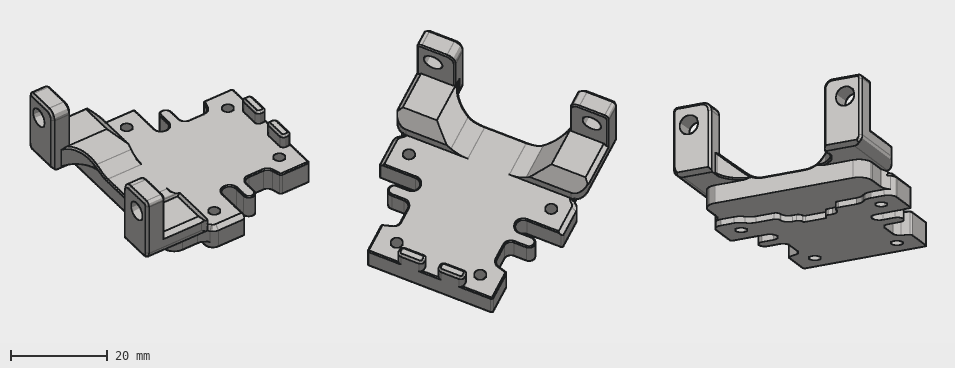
import cadquery as cq
import math

LENGTH = 45.75
HALF_WIDTH = 21.755
HEIGHT = 20.9

PLATE_TOP = 5.35
PLATE_FRONT = 16.45
PLATE_HALF_WIDTH = 20.8
PLATE_CORNER_RADIUS = 2.0
SMALL_CORNER_RADIUS = 0.45
SIDE_CHAMFER = 1.0
EDGE_CHAMFER = 0.27

EAR_HALF_WIDTH = 14.25
EAR_FRONT = 38.5
EAR_SLOPE = math.radians(17)
NECK_HALF_WIDTH = 11.0
NECK_RADIUS = 1.5
TAB_HALF_WIDTH = 16.65
TAB_REAR = 31.2
TAB_FRONT = 28.5
SHOULDER_REAR = 25.2

PLATE_HOLE_CENTRES = [(9.45, 41.4), (16.15, 20.65)]
PLATE_HOLE_DIAMETER = 2.5

PEG_CENTRE_X = 4.58
PEG_SIZE_X = 5.9
PEG_SIZE_Y = 2.35
PEG_TOP = 8.55
PEG_CORNER_RADIUS = 0.9
PEG_CHAMFER = 0.5

SLAB_BOTTOM = 1.35
SLAB_FRONT = 7.82
SLAB_HALF_WIDTH = 18.9
SLAB_RADIUS = 2.97

ARM_REAR = 16.55
ARM_TOP = 10.45
ARM_BOTTOM_RADIUS = 2.0
ARM_TOP_CHAMFER = 1.0
ARM_REAR_CHAMFER = 2.97
ARM_REAR_RADIUS = 2.97
RAMP_START = 4.7
RAMP_RADIUS = 6.0
RAMP_ANGLE = math.radians(39.5)
BAY_RADIUS = 6.0
BAY_CHAMFER = 0.3

POST_INNER = 13.05
POST_REAR = 4.5
POST_OUTER_RADIUS = 1.0
POST_INNER_RADIUS = 2.0
POST_FRONT_CHAMFER = 0.55
POST_REAR_CHAMFER = 0.3
POST_BOTTOM_CHAMFER = 0.9
POST_HOLE_X = 18.03
POST_HOLE_Z = 16.42
POST_HOLE_DIAMETER = 4.2

RELIEF_OUTER = 15.8
RELIEF_RADIUS = 2.97
RELIEF_ANGLE = math.radians(45)
RELIEF_MID = 7.45
RELIEF_MID_RADII = (1.0, 1.85)
RELIEF_INNER = 3.7
RELIEF_INNER_RADII = (1.0, 0.35)

NUDGE = 0.005
PEG_OVERLAP = 0.45
QUARTER = math.pi / 2


def arc(sketch, centre, radius, start, end):
    """Continue a 2D outline with an arc, angles in radians."""
    def at(angle):
        return (centre[0] + radius * math.cos(angle), centre[1] + radius * math.sin(angle))
    return sketch.threePointArc(at((start + end) / 2), at(end))


def box_between(low, high):
    size = [b - a for a, b in zip(low, high)]
    return cq.Workplane("XY").box(*size, centered=False).translate(low)


def make_plate():
    ear_arc_x = NECK_HALF_WIDTH + NECK_RADIUS
    slope_x = ear_arc_x - NECK_RADIUS * math.sin(EAR_SLOPE)
    slope_y = EAR_FRONT - (EAR_HALF_WIDTH - slope_x) * math.tan(EAR_SLOPE)
    ear_arc_y = slope_y - NECK_RADIUS * math.cos(EAR_SLOPE)
    tab_radius = (TAB_REAR - TAB_FRONT) / 2
    tab_arc = (TAB_HALF_WIDTH - tab_radius, TAB_FRONT + tab_radius)
    notch_radius = (TAB_FRONT - SHOULDER_REAR) / 2
    notch_arc = (NECK_HALF_WIDTH + notch_radius, SHOULDER_REAR + notch_radius)
    tab_neck_arc = (NECK_HALF_WIDTH + NECK_RADIUS, TAB_REAR + NECK_RADIUS)

    outline = cq.Workplane("XY").moveTo(0, LENGTH).lineTo(EAR_HALF_WIDTH, LENGTH)
    outline = outline.lineTo(EAR_HALF_WIDTH, EAR_FRONT).lineTo(slope_x, slope_y)
    outline = arc(outline, (ear_arc_x, ear_arc_y), NECK_RADIUS, QUARTER + EAR_SLOPE, math.pi)
    outline = outline.lineTo(NECK_HALF_WIDTH, tab_neck_arc[1])
    outline = arc(outline, tab_neck_arc, NECK_RADIUS, math.pi, 3 * QUARTER)
    outline = outline.lineTo(tab_arc[0], TAB_REAR)
    outline = arc(outline, tab_arc, tab_radius, QUARTER, -QUARTER)
    outline = outline.lineTo(notch_arc[0], TAB_FRONT)
    outline = arc(outline, notch_arc, notch_radius, QUARTER, 3 * QUARTER)
    outline = outline.lineTo(PLATE_HALF_WIDTH, SHOULDER_REAR).lineTo(PLATE_HALF_WIDTH, PLATE_FRONT)
    plate = outline.lineTo(0, PLATE_FRONT).close().extrude(PLATE_TOP)

    ear_box = cq.selectors.BoxSelector(
        (EAR_HALF_WIDTH - NUDGE, EAR_FRONT - NUDGE, 0),
        (EAR_HALF_WIDTH + NUDGE, LENGTH + NUDGE, PLATE_TOP))
    plate = plate.edges("|Z").edges(ear_box).fillet(SMALL_CORNER_RADIUS)
    plate = plate.edges("|Z and >X").edges("<Y").fillet(PLATE_CORNER_RADIUS)

    rim = cq.selectors.BoxSelector(
        (NECK_HALF_WIDTH - NUDGE, SHOULDER_REAR - NUDGE, PLATE_TOP - NUDGE),
        (PLATE_HALF_WIDTH, LENGTH - NUDGE, PLATE_TOP + NUDGE))
    return plate.edges(rim).chamfer(EDGE_CHAMFER)


def make_relief():
    """Stepped recess in the plate underside, deepest at the centre."""
    run = RELIEF_RADIUS * math.sin(RELIEF_ANGLE)
    rise = RELIEF_RADIUS * (1 - math.cos(RELIEF_ANGLE))
    mid_y = PLATE_FRONT + 2 * rise
    outline = cq.Workplane("XY").moveTo(0, PLATE_FRONT).lineTo(RELIEF_OUTER, PLATE_FRONT)
    outline = arc(outline, (RELIEF_OUTER, PLATE_FRONT + RELIEF_RADIUS), RELIEF_RADIUS,
                  -QUARTER, -QUARTER - RELIEF_ANGLE)
    outline = arc(outline, (RELIEF_OUTER - 2 * run, mid_y - RELIEF_RADIUS), RELIEF_RADIUS,
                  QUARTER - RELIEF_ANGLE, QUARTER)
    level = mid_y
    for x, (convex, concave) in ((RELIEF_MID, RELIEF_MID_RADII), (RELIEF_INNER, RELIEF_INNER_RADII)):
        outline = outline.lineTo(x, level)
        outline = arc(outline, (x, level + convex), convex, -QUARTER, -math.pi)
        outline = arc(outline, (x - convex - concave, level + convex), concave, 0, QUARTER)
        level += convex + concave
    return outline.lineTo(0, level).close().extrude(SLAB_BOTTOM)


def make_slab():
    """Slab from the front of the bay back into the plate, blending into the plate corner."""
    corner_x = PLATE_HALF_WIDTH - PLATE_CORNER_RADIUS
    corner_y = PLATE_FRONT + PLATE_CORNER_RADIUS
    blend_x = SLAB_HALF_WIDTH + SLAB_RADIUS
    reach = SLAB_RADIUS + PLATE_CORNER_RADIUS
    blend_angle = math.acos((blend_x - corner_x) / reach)
    blend_y = corner_y - reach * math.sin(blend_angle)

    outline = cq.Workplane("XY").workplane(offset=SLAB_BOTTOM).moveTo(0, SLAB_FRONT)
    outline = outline.lineTo(SLAB_HALF_WIDTH - SLAB_RADIUS, SLAB_FRONT)
    outline = arc(outline, (SLAB_HALF_WIDTH - SLAB_RADIUS, SLAB_FRONT + SLAB_RADIUS), SLAB_RADIUS,
                  -QUARTER, 0)
    outline = outline.lineTo(SLAB_HALF_WIDTH, blend_y)
    outline = arc(outline, (blend_x, blend_y), SLAB_RADIUS, math.pi, math.pi - blend_angle)
    outline = outline.lineTo(corner_x, corner_y)
    return outline.lineTo(0, corner_y).close().extrude(PLATE_TOP - SLAB_BOTTOM)


def make_base():
    slab = make_slab()
    base = make_plate().union(slab)
    side = cq.selectors.BoxSelector(
        (PLATE_HALF_WIDTH - NUDGE, PLATE_FRONT, PLATE_TOP - NUDGE),
        (PLATE_HALF_WIDTH + NUDGE, SHOULDER_REAR, PLATE_TOP + NUDGE))
    base = base.edges(side).chamfer(SIDE_CHAMFER)
    shoulder_corner = cq.selectors.BoxSelector(
        (PLATE_HALF_WIDTH - NUDGE, SHOULDER_REAR - NUDGE, 0),
        (PLATE_HALF_WIDTH + NUDGE, SHOULDER_REAR + NUDGE, PLATE_TOP))
    base = base.edges("|Z").edges(shoulder_corner).fillet(SMALL_CORNER_RADIUS)
    under_arms = box_between((0, 0, 0), (HALF_WIDTH, ARM_REAR, PLATE_TOP))
    return base.union(slab.intersect(under_arms)).cut(make_relief())


def front_outline():
    """Workplane whose local axes are X and Z and whose extrusion runs toward +Y for negative lengths."""
    return cq.Workplane(cq.Plane((0, 0, 0), xDir=(1, 0, 0), normal=(0, -1, 0)))


def make_bay():
    bay = box_between((-POST_INNER, 0, 0), (POST_INNER, SLAB_FRONT, HEIGHT))
    return bay.edges("|Z and >X and >Y").fillet(BAY_RADIUS)


def make_ramp_block():
    """Block from the slab underside up to the flat slab top and the ramp, which runs on to the side."""
    ramp_x = RAMP_START + RAMP_RADIUS * math.sin(RAMP_ANGLE)
    ramp_z = PLATE_TOP + RAMP_RADIUS * (1 - math.cos(RAMP_ANGLE))
    ramp_end_z = ramp_z + (HALF_WIDTH - ramp_x) * math.tan(RAMP_ANGLE)

    outline = front_outline().moveTo(0, SLAB_BOTTOM).lineTo(HALF_WIDTH, SLAB_BOTTOM)
    outline = outline.lineTo(HALF_WIDTH, ramp_end_z).lineTo(ramp_x, ramp_z)
    outline = arc(outline, (RAMP_START, PLATE_TOP + RAMP_RADIUS), RAMP_RADIUS,
                  RAMP_ANGLE - QUARTER, -QUARTER)
    return outline.lineTo(0, PLATE_TOP).close().extrude(-ARM_REAR)


def make_arm():
    """Arm with rounded and bevelled outer edges, starting inside the post."""
    bottom_arc = (HALF_WIDTH - ARM_BOTTOM_RADIUS, PLATE_TOP + ARM_BOTTOM_RADIUS)
    section = front_outline().moveTo(RAMP_START, PLATE_TOP).lineTo(bottom_arc[0], PLATE_TOP)
    section = arc(section, bottom_arc, ARM_BOTTOM_RADIUS, -QUARTER, 0)
    section = section.lineTo(HALF_WIDTH, ARM_TOP - ARM_TOP_CHAMFER)
    section = section.lineTo(HALF_WIDTH - ARM_TOP_CHAMFER, ARM_TOP).lineTo(RAMP_START, ARM_TOP)
    section = section.close().extrude(-ARM_REAR)

    plan = box_between((0, POST_REAR / 2, 0), (HALF_WIDTH, ARM_REAR, HEIGHT))
    plan = plan.edges("|Z and >X and >Y").fillet(ARM_REAR_RADIUS)

    slope = (cq.Workplane("YZ")
             .polyline([(ARM_REAR, ARM_TOP - ARM_REAR_CHAMFER), (ARM_REAR, ARM_TOP),
                        (ARM_REAR - ARM_REAR_CHAMFER, ARM_TOP)])
             .close().extrude(HALF_WIDTH))

    arm = make_ramp_block().intersect(section).intersect(plan)
    return arm.cut(slope).cut(make_bay()).cut(make_bay_flare())


def make_bay_flare():
    """Cutter that breaks the lower edge of the bay where the arm overhangs the slab."""
    flare = box_between(
        (-POST_INNER, -BAY_CHAMFER, PLATE_TOP - BAY_CHAMFER),
        (POST_INNER + BAY_CHAMFER, SLAB_FRONT + BAY_CHAMFER, PLATE_TOP + BAY_CHAMFER))
    flare = flare.edges("|Z and >X and >Y").fillet(BAY_RADIUS + BAY_CHAMFER)
    flare = flare.faces(">Z").chamfer(BAY_CHAMFER)
    return flare.intersect(box_between((0, 0, 0), (HALF_WIDTH, SLAB_FRONT, HEIGHT)))


def make_bay_bevel():
    """Sliver removed along the top edge of the bay, over the slab and up the ramp."""
    block = make_ramp_block().cut(make_bay())
    edge = cq.selectors.BoxSelector(
        (0, SLAB_FRONT - NUDGE, PLATE_TOP - NUDGE),
        (RAMP_START, SLAB_FRONT + NUDGE, PLATE_TOP + NUDGE))
    return block.cut(block.edges(edge).chamfer(BAY_CHAMFER))


def make_post():
    bottom_arc = (HALF_WIDTH - ARM_BOTTOM_RADIUS, PLATE_TOP + ARM_BOTTOM_RADIUS)
    outer_arc = (HALF_WIDTH - POST_OUTER_RADIUS, HEIGHT - POST_OUTER_RADIUS)
    inner_arc = (POST_INNER + POST_INNER_RADIUS, HEIGHT - POST_INNER_RADIUS)

    outline = front_outline().moveTo(POST_INNER, PLATE_TOP).lineTo(bottom_arc[0], PLATE_TOP)
    outline = arc(outline, bottom_arc, ARM_BOTTOM_RADIUS, -QUARTER, 0)
    outline = outline.lineTo(HALF_WIDTH, outer_arc[1])
    outline = arc(outline, outer_arc, POST_OUTER_RADIUS, 0, QUARTER)
    outline = outline.lineTo(inner_arc[0], HEIGHT)
    outline = arc(outline, inner_arc, POST_INNER_RADIUS, QUARTER, math.pi)
    post = outline.close().extrude(-POST_REAR)
    post = post.faces(">Y").edges().chamfer(POST_REAR_CHAMFER)
    post = post.faces("<Y").edges().chamfer(POST_FRONT_CHAMFER)

    bevel = (cq.Workplane("YZ")
             .polyline([(0, PLATE_TOP), (POST_BOTTOM_CHAMFER, PLATE_TOP),
                        (0, PLATE_TOP + POST_BOTTOM_CHAMFER)])
             .close().extrude(HALF_WIDTH))
    return post.cut(bevel)


def make_post_hole():
    hole = front_outline().center(POST_HOLE_X, POST_HOLE_Z)
    return hole.circle(POST_HOLE_DIAMETER / 2).extrude(-POST_REAR)


def make_plate_holes():
    holes = cq.Workplane("XY").pushPoints(PLATE_HOLE_CENTRES)
    return holes.circle(PLATE_HOLE_DIAMETER / 2).extrude(PLATE_TOP)


def make_peg():
    peg = box_between(
        (PEG_CENTRE_X - PEG_SIZE_X / 2, LENGTH - PEG_SIZE_Y, PLATE_TOP - PEG_OVERLAP),
        (PEG_CENTRE_X + PEG_SIZE_X / 2, LENGTH, PEG_TOP))
    peg = peg.edges("|Z").fillet(PEG_CORNER_RADIUS)
    return peg.faces(">Z").chamfer(PEG_CHAMFER)


half = make_base().union(make_arm()).cut(make_bay_bevel())
half = half.union(make_post()).union(make_peg())
half = half.cut(make_post_hole()).cut(make_plate_holes())
result = half.union(half.mirror("YZ")).clean()